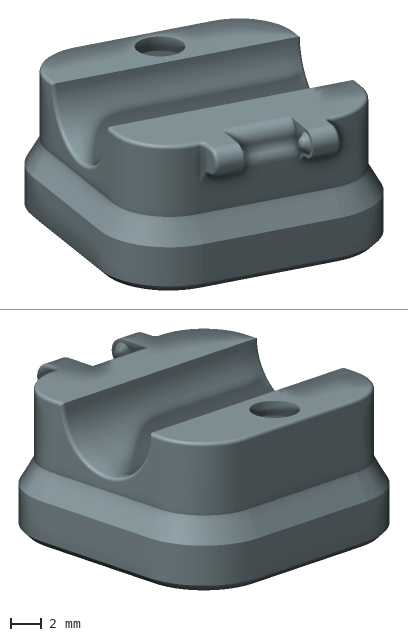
import cadquery as cq
import math

length = 21.0
length_steps = 21
unit = length / length_steps

base_side = 20 * unit
height = 10 * unit
base_corner = 5 * unit
shoulder_inset = unit
shoulder_top = 5 * unit
shoulder_angle = math.radians(60)
bottom_chamfer = unit / 2
edge_round = unit / 4

channel_radius = 4 * unit

pocket_diameter = 3.3
pocket_offset = 6.5 * unit
pocket_depth = unit

hinge_radius = unit
hinge_width = 9 * unit
hinge_gap = 5 * unit
notch_clearance = unit / 2

pin_root_radius = 0.75 * unit
pin_nose_base = unit / 2
pin_tip_radius = unit / 10
pin_cone_height = unit / 4
pin_nose_height = unit / 4

upper_side = base_side - 2 * shoulder_inset
upper_corner = base_corner - shoulder_inset
shoulder_height = shoulder_inset * math.tan(shoulder_angle)
foot_height = shoulder_top - shoulder_height
wall_x = upper_side / 2
hinge_x = base_side / 2
hinge_z = height - hinge_radius
lug_bottom = hinge_z - 2 * hinge_radius
diagonal = math.sqrt(0.5)
tolerance = 0.002


def rounded_block(side, corner, bottom, top):
    """Square block with rounded vertical corners."""
    block = cq.Workplane("XY", origin=(0, 0, bottom)).rect(side, side).extrude(top - bottom)
    return block.edges("|Z").fillet(corner)


def make_foot():
    """Foot with a tapered shoulder above and a chamfer below."""
    foot = rounded_block(base_side, base_corner, 0, shoulder_top)
    foot = foot.faces(">Z").edges().chamfer(shoulder_height, shoulder_inset)
    return foot.faces("<Z").edges().chamfer(bottom_chamfer)


def make_lug_bar():
    """Bar with a half-round nose and a concave underside that runs into the wall."""
    bend = hinge_radius * diagonal
    inner_x = wall_x - hinge_radius
    return (
        cq.Workplane("XZ", origin=(0, hinge_width / 2, 0))
        .moveTo(inner_x, height)
        .lineTo(hinge_x, height)
        .threePointArc((hinge_x + hinge_radius, hinge_z), (hinge_x, hinge_z - hinge_radius))
        .threePointArc((hinge_x - bend, lug_bottom + bend), (wall_x, lug_bottom))
        .lineTo(inner_x, lug_bottom)
        .close()
        .extrude(hinge_width)
    )


def make_channel():
    return (
        cq.Workplane("XZ", origin=(0, base_side / 2, height))
        .circle(channel_radius)
        .extrude(base_side)
    )


def make_notch():
    """Gap between the lugs: a convex lip on top, then an S-curve out to the wall."""
    lip_x = wall_x - notch_clearance
    start_x = lip_x - hinge_radius
    turn = math.acos(1 - notch_clearance / 2 / hinge_radius)
    drop = hinge_radius * math.sin(turn)
    half_bulge = hinge_radius * (1 - math.cos(turn / 2))
    half_drop = hinge_radius * math.sin(turn / 2)
    end_z = hinge_z - 2 * drop
    outer_x = hinge_x + 2 * hinge_radius
    return (
        cq.Workplane("XZ", origin=(0, hinge_gap / 2, 0))
        .moveTo(start_x, height)
        .threePointArc(
            (start_x + hinge_radius * diagonal, hinge_z + hinge_radius * diagonal), (lip_x, hinge_z)
        )
        .threePointArc(
            (lip_x + half_bulge, hinge_z - half_drop), (lip_x + notch_clearance / 2, hinge_z - drop)
        )
        .threePointArc((wall_x - half_bulge, end_z + half_drop), (wall_x, end_z))
        .lineTo(wall_x, lug_bottom)
        .lineTo(outer_x, lug_bottom)
        .lineTo(outer_x, height)
        .close()
        .extrude(hinge_gap)
    )


def make_pin():
    """Pin on the +Y lug: a cone at the root, then a rounded nose with a small flat tip."""
    root_y = hinge_gap / 2
    nose_y = root_y - pin_cone_height
    tip_y = nose_y - pin_nose_height
    nose_run = pin_nose_base - pin_tip_radius
    nose_radius = (nose_run ** 2 + pin_nose_height ** 2) / (2 * pin_nose_height)
    half_angle = math.asin(nose_run / nose_radius) / 2
    middle_x = pin_tip_radius + nose_radius * math.sin(half_angle)
    middle_y = tip_y + nose_radius * (1 - math.cos(half_angle))
    return (
        cq.Workplane("XY", origin=(hinge_x, 0, hinge_z))
        .moveTo(0, root_y)
        .lineTo(pin_root_radius, root_y)
        .lineTo(pin_nose_base, nose_y)
        .threePointArc((middle_x, middle_y), (pin_tip_radius, tip_y))
        .lineTo(0, tip_y)
        .close()
        .revolve(360, (0, 0, 0), (0, 1, 0))
    )


def make_pocket():
    return (
        cq.Workplane("XY", origin=(-pocket_offset, 0, height - pocket_depth))
        .circle(pocket_diameter / 2)
        .extrude(pocket_depth)
    )


def is_rounded_edge(edge):
    """True for the outline of the top, the sides of the lugs and the ends of the channel."""
    box = edge.BoundingBox()
    centred_along_y = box.xlen < tolerance and abs(edge.Center().y) < tolerance
    stays_sharp = centred_along_y and edge.Center().x > -channel_radius - tolerance
    upright = edge.geomType() == "LINE" and box.zlen > tolerance
    above_foot = box.zmin > shoulder_top
    return above_foot and not stays_sharp and not upright


upper = rounded_block(upper_side, upper_corner, foot_height, height)
body = upper.union(make_lug_bar())
half_reach = hinge_width / 2 + edge_round
lug_roots = cq.selectors.BoxSelector(
    (wall_x - edge_round, -half_reach, lug_bottom), (wall_x + edge_round, half_reach, height)
)
body = body.edges(lug_roots).edges("|Z").fillet(edge_round)

body = body.cut(make_channel())
outer_edges = [edge for edge in body.edges().vals() if is_rounded_edge(edge)]
body = body.newObject(outer_edges).fillet(edge_round)

body = body.cut(make_notch()).cut(make_pocket())
pin = make_pin()
result = body.union(make_foot()).union(pin).union(pin.mirror("XZ"))